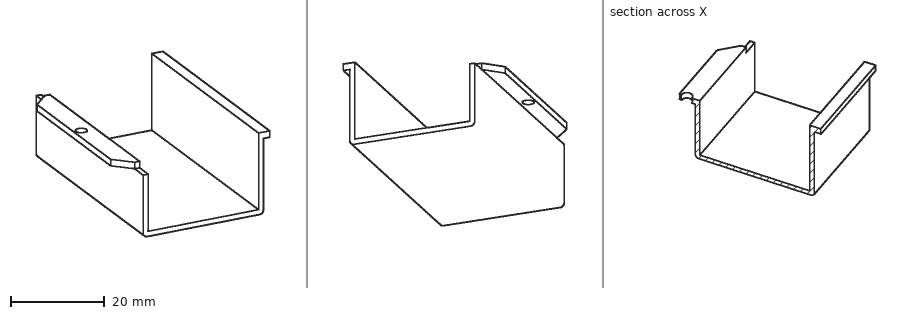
import cadquery as cq

length = 50.0
channel_width = 28.9
wall = 1.2
corner_radius = 1.0
rear_height = 18.9
front_height = 14.4

lip_thickness = 1.5
lip_overhang = 1.5

tab_thickness = 1.5
tab_length = 42.0
tab_overhang = 3.8
hole_diameter = 2.5
hole_edge_distance = 1.8

front_outer = -channel_width / 2
front_inner = front_outer + wall
rear_outer = channel_width / 2
rear_inner = rear_outer - wall
lip_edge = rear_outer + lip_overhang
tab_edge = front_outer - tab_overhang


def make_channel():
    """U profile with the rear lip, extruded along X, outer bottom edges rounded."""
    lip_bottom = rear_height - lip_thickness
    profile = [
        (front_outer, 0),
        (rear_outer, 0),
        (rear_outer, lip_bottom),
        (lip_edge, lip_bottom),
        (lip_edge, rear_height),
        (rear_inner, rear_height),
        (rear_inner, wall),
        (front_inner, wall),
        (front_inner, front_height),
        (front_outer, front_height),
    ]
    channel = cq.Workplane("YZ").polyline(profile).close().extrude(length / 2, both=True)
    return channel.faces("<Z").edges("|X").fillet(corner_radius)


def make_tab():
    """Flat tab on top of the front wall, drilled through near its outer edge."""
    half_length = tab_length / 2
    half_edge = half_length - tab_overhang
    outline = [
        (-half_length, front_inner),
        (-half_length, front_outer),
        (-half_edge, tab_edge),
        (half_edge, tab_edge),
        (half_length, front_outer),
        (half_length, front_inner),
    ]
    base = cq.Workplane("XY").workplane(offset=front_height)
    tab = base.polyline(outline).close().extrude(tab_thickness)
    hole_center = base.center(0, tab_edge + hole_edge_distance)
    hole = hole_center.circle(hole_diameter / 2).extrude(tab_thickness)
    return tab.cut(hole)


result = make_channel().union(make_tab())